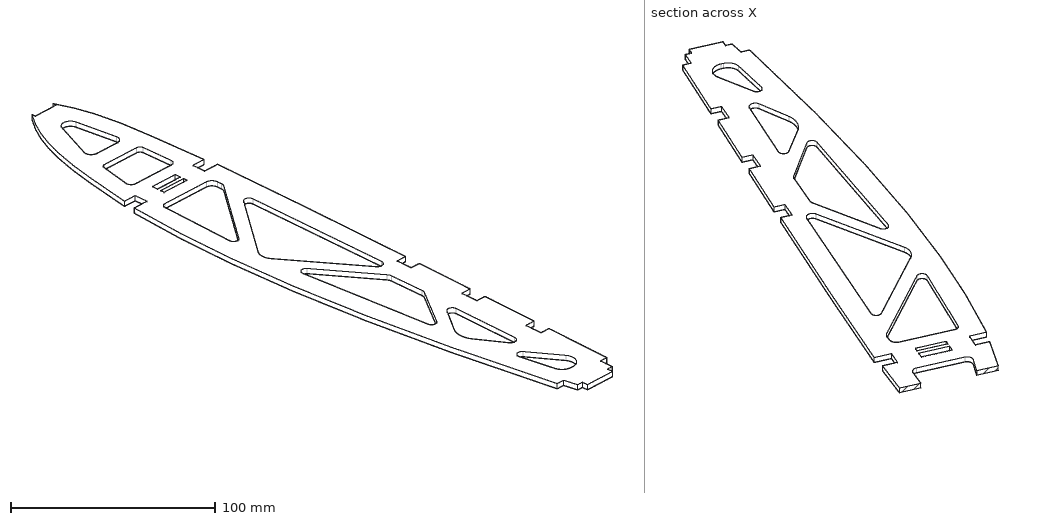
import cadquery as cq

length = 379.5
width = 62.2
thickness = 3.0

nose_recess = 2.3
nose_top = 49.7
nose_bottom = 35.0

spar_front = 91.5
spar_rear = 99.5
notch_roof = 53.0
notch_floor = 12.0
front_top = 61.0
front_bottom = 4.5
rear_bottom = 3.0
spar_slots = [(spar_front, 95.0), (97.0, spar_rear)]
spar_slot_bottom = 24.3
spar_slot_top = 40.5

tail_shoulder = 368.0
tail_step = 376.0
shoulder_top = 56.5
shoulder_bottom = 21.3
step_top = 52.0
step_bottom_front = 25.8
step_bottom_rear = 27.5
tongue_top = 48.5
tongue_bottom = 30.7

stringer_notches = [(228.5, 238.0, 54.3), (273.3, 283.5, 53.0), (317.5, 328.0, 52.0)]

windows = [
    [(3.8, 42.0, 4.5), (49.5, 48.2, 3.8), (49.5, 23.5, 3.8)],
    [(59.5, 49.0, 2.3), (83.5, 49.5, 3.0), (83.5, 17.0, 3.0), (59.5, 22.0, 2.3)],
    [(107.5, 49.7, 3.8), (115.5, 49.7, 3.8), (163.5, 11.8, 2.5), (107.5, 14.0, 2.5)],
    [(127.5, 49.7, 2.5), (232.5, 48.5, 3.0), (177.5, 10.2, 7.5)],
    [(193.5, 13.0, 2.5), (235.3, 41.7, 3.8), (258.5, 41.7, 3.8), (289.5, 20.5, 2.5)],
    [(273.0, 40.5, 2.5), (332.0, 39.5, 3.0), (301.5, 20.5, 11.5)],
    [(323.7, 25.5, 2.5), (362.0, 51.0, 6.5), (362.0, 32.3, 6.0)],
]


def make_blank():
    """Wing-rib outline, with the spar notches and the tail tongue."""
    return (
        cq.Workplane("XY")
        .moveTo(0, nose_top)
        .spline([(16.7, 55.5), (48.2, 59.5), (spar_front, front_top)], includeCurrent=True)
        .lineTo(spar_front, notch_roof)
        .lineTo(spar_rear, notch_roof)
        .lineTo(spar_rear, width)
        .spline([(170.8, 61.5), (269.5, 59.2), (tail_shoulder, shoulder_top)], includeCurrent=True)
        .lineTo(tail_shoulder, step_top)
        .lineTo(tail_step, step_top)
        .lineTo(tail_step, tongue_top)
        .lineTo(length, tongue_top)
        .lineTo(length, tongue_bottom)
        .lineTo(tail_step, tongue_bottom)
        .lineTo(tail_step, step_bottom_rear)
        .lineTo(tail_shoulder, step_bottom_front)
        .lineTo(tail_shoulder, shoulder_bottom)
        .spline([(314.5, 12.5), (246.7, 4.0), (157.5, 0), (spar_rear, rear_bottom)], includeCurrent=True)
        .lineTo(spar_rear, notch_floor)
        .lineTo(spar_front, notch_floor)
        .lineTo(spar_front, front_bottom)
        .spline([(48.2, 13.0), (19.5, 22.8), (0, nose_bottom)], includeCurrent=True)
        .lineTo(nose_recess, nose_bottom)
        .lineTo(nose_recess, nose_top)
        .close()
        .extrude(thickness)
    )


def make_box(x_min, x_max, y_min, y_max):
    """Cutter through the whole plate thickness."""
    cutter = cq.Workplane("XY").box(x_max - x_min, y_max - y_min, thickness, centered=False)
    return cutter.translate((x_min, y_min, 0))


def make_window(corners):
    """Polygonal cutter with each upright edge rounded by its own radius."""
    window = cq.Workplane("XY").polyline([(x, y) for x, y, _ in corners]).close().extrude(thickness)
    for x, y, radius in corners:
        window = window.edges("|Z").edges(cq.NearestToPointSelector((x, y, thickness / 2))).fillet(radius)
    return window


result = make_blank()

for front, rear, floor in stringer_notches:
    result = result.cut(make_box(front, rear, floor, width))

for front, rear in spar_slots:
    result = result.cut(make_box(front, rear, spar_slot_bottom, spar_slot_top))

for corners in windows:
    result = result.cut(make_window(corners))